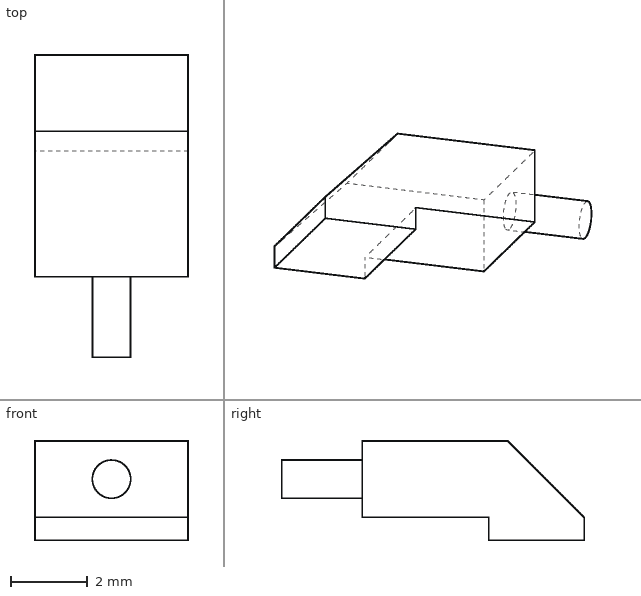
import cadquery as cq

width = 4.0
body_length = 5.8
body_height = 2.0
foot_length = 2.5
foot_height = 0.6
slope_run = 2.0
slope_drop = 2.0
pin_diameter = 1.0
pin_length = 2.1

foot_front = body_length - foot_length
slope_start = body_length - slope_run
slope_end_height = body_height - slope_drop
pin_height = body_height / 2


def make_body():
    """Block with a sloped back end and a foot below it, extruded across X."""
    side_outline = [
        (0, 0),
        (0, body_height),
        (slope_start, body_height),
        (body_length, slope_end_height),
        (body_length, -foot_height),
        (foot_front, -foot_height),
        (foot_front, 0),
    ]
    return cq.Workplane("YZ").polyline(side_outline).close().extrude(width / 2, both=True)


def make_pin():
    """Round pin standing out of the front face toward -Y."""
    return (
        cq.Workplane("XZ")
        .center(0, pin_height)
        .circle(pin_diameter / 2)
        .extrude(pin_length)
    )


result = make_body().union(make_pin())